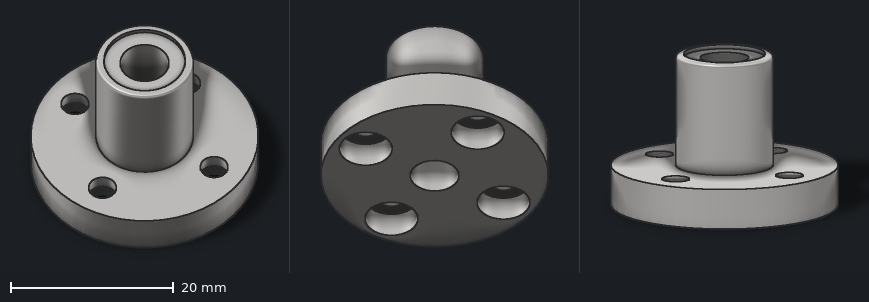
import cadquery as cq

flange_diameter = 28.0
flange_thickness = 5.0

total_height = 19.0
sleeve_diameter = 12.0
sleeve_edge_radius = 0.5
bore_diameter = 6.0

recess_diameter = 10.0
recess_depth = 0.5

screw_count = 4
screw_circle_diameter = 20.0
screw_hole_diameter = 3.4
counterbore_diameter = 6.5
counterbore_depth = 3.3


def make_body():
    """Flange with its underside at Z = 0 and the round-edged sleeve above it."""
    flange = cq.Workplane("XY").circle(flange_diameter / 2).extrude(flange_thickness)
    sleeve = (
        cq.Workplane("XY")
        .circle(sleeve_diameter / 2)
        .extrude(total_height)
        .faces(">Z")
        .edges()
        .fillet(sleeve_edge_radius)
    )
    return flange.union(sleeve)


def make_bore():
    """Through bore, widened by the recess at the top of the sleeve."""
    bore = cq.Workplane("XY").circle(bore_diameter / 2).extrude(total_height)
    recess = (
        cq.Workplane("XY")
        .workplane(offset=total_height - recess_depth)
        .circle(recess_diameter / 2)
        .extrude(recess_depth)
    )
    return bore.union(recess)


def make_screw_holes():
    """Evenly spaced through holes with a counterbore opening downward."""
    centres = cq.Workplane("XY").polarArray(screw_circle_diameter / 2, 0, 360, screw_count)
    holes = centres.circle(screw_hole_diameter / 2).extrude(flange_thickness)
    counterbores = centres.circle(counterbore_diameter / 2).extrude(counterbore_depth)
    return holes.union(counterbores)


result = make_body().cut(make_bore()).cut(make_screw_holes())